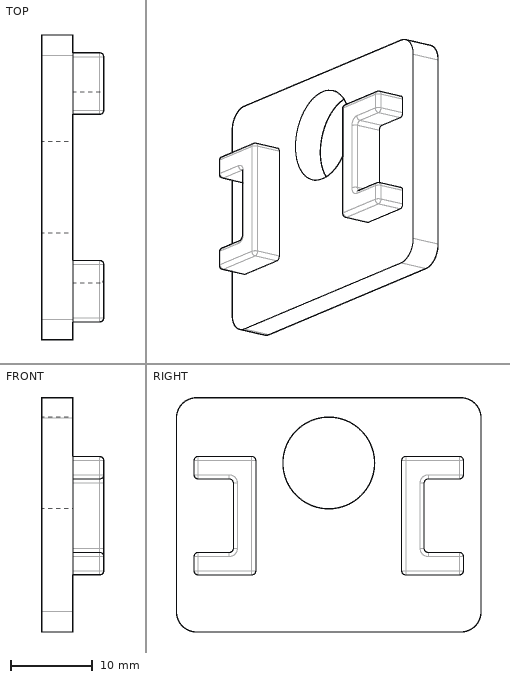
import cadquery as cq

plate_thickness = 3.8
plate_width = 37.3
plate_height = 28.7
plate_corner_radius = 2.5

hole_diameter = 11.2
hole_height = 6.35

boss_projection = 3.8
boss_width = 7.55
boss_height = 14.5
boss_offset = 12.7
boss_drop = 0.1
boss_wall = 2.75
boss_edge_radius = 0.5


def make_plate():
    """Rounded rectangular plate with a through hole."""
    plate = cq.Workplane("YZ").rect(plate_width, plate_height).extrude(plate_thickness)
    plate = plate.edges("|X").fillet(plate_corner_radius)
    hole = (
        cq.Workplane("YZ")
        .center(0, hole_height)
        .circle(hole_diameter / 2)
        .extrude(plate_thickness)
    )
    return plate.cut(hole)


def make_boss():
    """Channel boss on the -Y half: two arms toward -Y joined by a web on the inner side."""
    outer_y = -boss_offset - boss_width / 2
    inner_y = -boss_offset + boss_width / 2
    web_y = inner_y - boss_wall
    boss_top = boss_height / 2
    recess_top = boss_top - boss_wall
    boss = (
        cq.Workplane("YZ", origin=(plate_thickness, 0, -boss_drop))
        .moveTo(inner_y, boss_top)
        .lineTo(outer_y, boss_top)
        .lineTo(outer_y, recess_top)
        .lineTo(web_y, recess_top)
        .lineTo(web_y, -recess_top)
        .lineTo(outer_y, -recess_top)
        .lineTo(outer_y, -boss_top)
        .lineTo(inner_y, -boss_top)
        .close()
        .extrude(boss_projection)
    )
    boss = boss.edges("|X").fillet(boss_edge_radius)
    return boss.faces(">X").edges().fillet(boss_edge_radius)


near_boss = make_boss()
far_boss = near_boss.mirror("XZ")
result = make_plate().union(near_boss).union(far_boss)